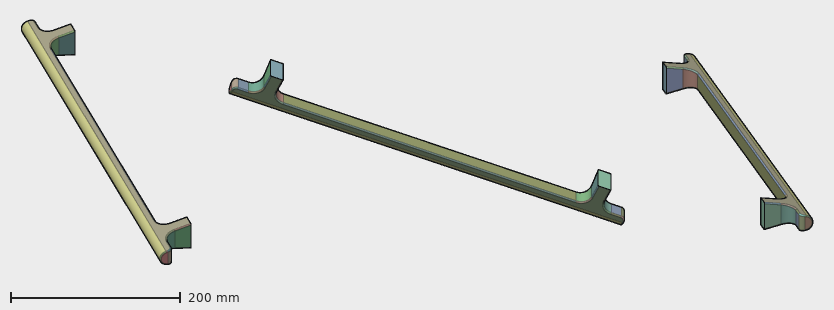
import cadquery as cq
import math

length = 498.35
depth = 50.31
wall_end_height = 35.13

nose_radius = 9.65
bar_depth = 16.0
post_spacing = 416.0
post_width = 16.5
root_radius = 14.0
bar_corner_radius = 6.0
edge_radius = 1.5

front_y = -depth / 2
wall_y = depth / 2
bar_back_y = front_y + bar_depth
nose_center_y = front_y + nose_radius

flank_run = wall_y - nose_center_y
flank_rise = wall_end_height / 2
taper = math.atan2(flank_rise, flank_run) - math.asin(nose_radius / math.hypot(flank_run, flank_rise))
tangent_y = nose_center_y - nose_radius * math.sin(taper)
tangent_z = nose_radius * math.cos(taper)


def tapered_profile():
    """Constant side profile: flat wall end, tapering flanks and a round nose."""
    return (
        cq.Workplane("YZ")
        .moveTo(wall_y, wall_end_height / 2)
        .lineTo(tangent_y, tangent_z)
        .threePointArc((front_y, 0), (tangent_y, -tangent_z))
        .lineTo(wall_y, -wall_end_height / 2)
        .close()
        .extrude(length / 2, both=True)
    )


def bar_plan():
    """Straight bar with its two back corners rounded."""
    return (
        cq.Workplane("XY")
        .box(length, bar_depth, wall_end_height)
        .translate((0, front_y + bar_depth / 2, 0))
        .edges("|Z and >Y")
        .fillet(bar_corner_radius)
    )


def post_plan(center_x):
    """Straight post that flares into the back of the bar with concave roots."""
    left = center_x - post_width / 2
    right = center_x + post_width / 2
    root_top_y = bar_back_y + root_radius
    return (
        cq.Workplane("XY")
        .moveTo(left, wall_y)
        .lineTo(right, wall_y)
        .lineTo(right, root_top_y)
        .radiusArc((right + root_radius, bar_back_y), -root_radius)
        .lineTo(right + root_radius, nose_center_y)
        .lineTo(left - root_radius, nose_center_y)
        .lineTo(left - root_radius, bar_back_y)
        .radiusArc((left, root_top_y), -root_radius)
        .close()
        .extrude(wall_end_height / 2, both=True)
    )


def make_handle():
    plan = bar_plan()
    for side in (-1, 1):
        plan = plan.union(post_plan(side * post_spacing / 2))
    handle = tapered_profile().intersect(plan)

    end_edges = handle.edges("(<X or >X) and %CIRCLE")
    middle_edges = handle.edges(
        cq.selectors.BoxSelector(
            (-edge_radius, bar_back_y - edge_radius, -wall_end_height),
            (edge_radius, bar_back_y + edge_radius, wall_end_height),
        )
    )
    return end_edges.add(middle_edges).fillet(edge_radius)


handle = make_handle()
result = cq.Compound.makeCompound([handle.val()])